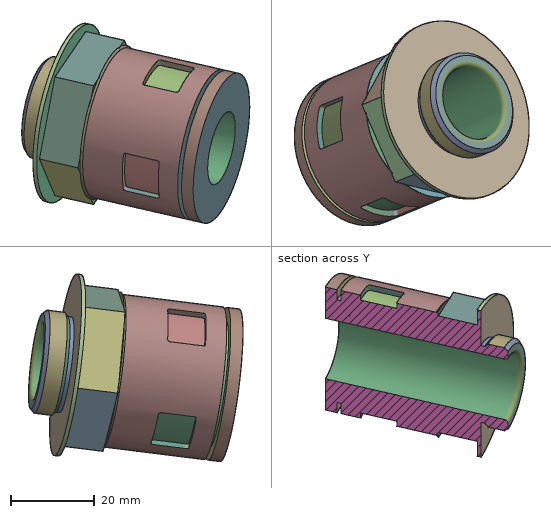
import cadquery as cq

total_length = 47.0
bore_dia = 18.0
bore_lip_radius = 1.0

spigot_dia = 25.0
neck_dia = 23.15
spigot_lead_in = 1.0
spigot_end_x = 5.15
spigot_step_x = 5.55
neck_start_x = 6.0
neck_end_x = 7.0

flange_dia = 44.0
flange_thickness = 1.0
hex_across_flats = 35.0
hex_length = 9.95

body_dia = 37.0
rim_dia = 37.98
rim_length = 0.5
groove_dia = 30.95
groove_width = 1.0
cap_thickness = 3.0

window_start_x = 28.7
window_length = 9.25
window_width = 11.05
window_depth = 1.5
window_corner_radius = 0.65
window_count = 4

flange_end_x = neck_end_x + flange_thickness
hex_end_x = flange_end_x + hex_length
rim_end_x = hex_end_x + rim_length
cap_start_x = total_length - cap_thickness
groove_start_x = cap_start_x - groove_width


def cylinder(diameter, start_x, end_x):
    """Solid cylinder on the X axis."""
    return cq.Workplane("YZ", origin=(start_x, 0, 0)).circle(diameter / 2).extrude(end_x - start_x)


def make_spigot():
    """Spigot with a chamfered nose and a tapered run-out to the neck."""
    spigot_radius = spigot_dia / 2
    neck_radius = neck_dia / 2
    step_radius = (spigot_radius + neck_radius) / 2
    return (
        cq.Workplane("XY")
        .moveTo(0, 0)
        .lineTo(0, neck_radius)
        .lineTo(spigot_lead_in, spigot_radius)
        .lineTo(spigot_end_x, spigot_radius)
        .lineTo(spigot_step_x, step_radius)
        .lineTo(neck_start_x, neck_radius)
        .lineTo(neck_end_x, neck_radius)
        .lineTo(neck_end_x, 0)
        .close()
        .revolve(360, (0, 0, 0), (1, 0, 0))
    )


def make_hexagon():
    """Hexagon, turned a quarter so that flats face +Z and -Z."""
    return (
        cq.Workplane("YZ", origin=(flange_end_x, 0, 0))
        .polygon(6, hex_across_flats, circumscribed=True)
        .extrude(hex_length)
        .rotate((0, 0, 0), (1, 0, 0), 90)
    )


def make_body():
    """Body with its tapered rim, groove and end cap."""
    rim = (
        cq.Workplane("YZ", origin=(hex_end_x, 0, 0))
        .circle(rim_dia / 2)
        .workplane(offset=rim_length)
        .circle(body_dia / 2)
        .loft(ruled=True)
    )
    barrel = cylinder(body_dia, rim_end_x, groove_start_x)
    groove_core = cylinder(groove_dia, groove_start_x, cap_start_x)
    cap = cylinder(body_dia, cap_start_x, total_length)
    return rim.union(barrel).union(groove_core).union(cap)


def make_window(angle):
    """Rounded window cutter whose inner face follows the body."""
    window_end_x = window_start_x + window_length
    block = (
        cq.Workplane("XY")
        .center(window_start_x + window_length / 2, 0)
        .rect(window_length, window_width)
        .extrude(body_dia)
        .edges("|Z")
        .fillet(window_corner_radius)
    )
    floor = cylinder(body_dia - 2 * window_depth, window_start_x, window_end_x)
    return block.cut(floor).rotate((0, 0, 0), (1, 0, 0), angle)


flange = cylinder(flange_dia, neck_end_x, flange_end_x)
result = make_spigot().union(flange).union(make_hexagon()).union(make_body())

for index in range(window_count):
    result = result.cut(make_window(index * 360 / window_count))

result = result.cut(cylinder(bore_dia, 0, total_length))
result = result.faces("<X").edges(cq.selectors.RadiusNthSelector(0)).fillet(bore_lip_radius)